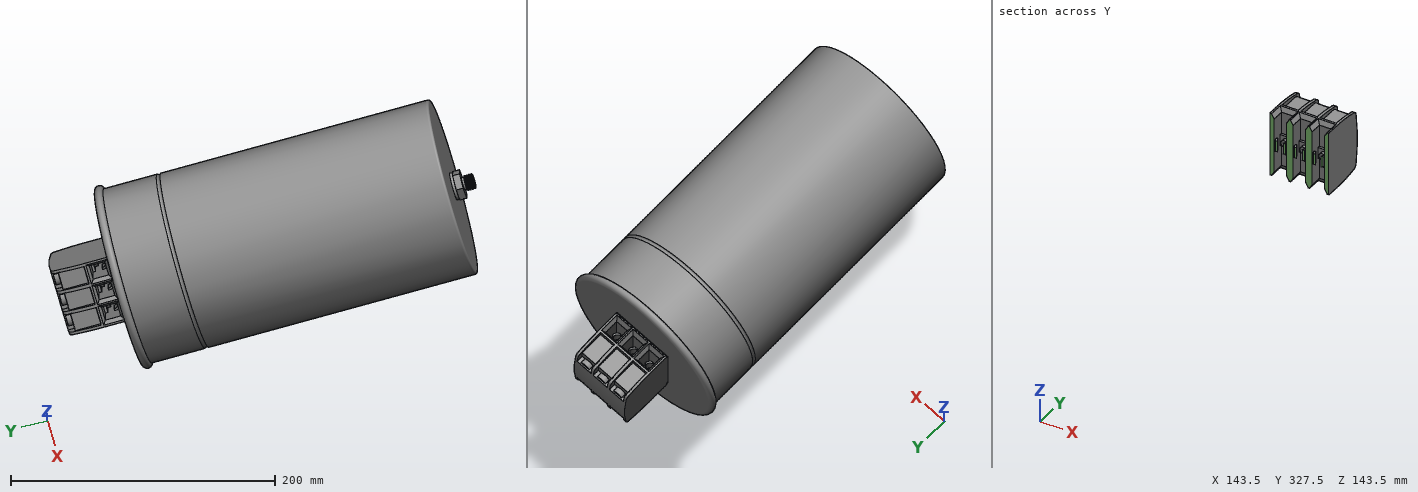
import cadquery as cq
import math


can_radius = 68.5
can_length = 263.0
base_fillet = 1.8
rim_radius = 71.75
rim_width = 6.8
groove_center = 212.8
groove_width = 3.0
groove_depth = 0.7

washer_radius = 10.7
washer_thickness = 2.2
washer_taper = 15.0
nut_across_flats = 20.0
nut_thickness = 5.5
stud_length = 16.5
thread_radius = 5.9
thread_pitch = 1.75
thread_depth = 0.95
thread_turns = 4
thread_crest = 0.2 * thread_pitch
thread_flank = (thread_pitch - thread_crest) / 2
relief_radius = thread_radius - thread_depth

cell_count = 3
cell_pitch = 16.8
outer_wall = 1.0
block_width = cell_count * cell_pitch + 2 * outer_wall
block_height = 48.0
block_half_depth = 28.3
block_straight = 23.5
shoulder_height = 45.8
shoulder_half_depth = 25.2
shoulder_bulge = 0.5
shoulder_fillet = 4.0
edge_reach = 1.0
plinth_height = 1.0
plinth_inset = 2.0

panel_width = 14.3
panel_bottom = 21.0
panel_top = 41.4
panel_recess = 4.0

notch_floor = 17.0
screw_guide_radius = 5.5
screw_guide_center = 13.5
screw_guide_length = 4.4

funnel_width = 15.6
funnel_bottom = 2.3
funnel_top = 19.2
funnel_depth = 4.0
entry_width = 10.8
entry_bottom = 5.0
entry_top = 17.2

clamp_half_thickness = 5.0
clamp_outer_radius = 5.6
clamp_inner_radius = 4.0
clamp_center = 9.8
clamp_bar_height = 2.0
clamp_screw_radius = 3.0
clamp_screw_tip = 12.2


def make_can():
    """Revolved can with a rounded base edge, a bead groove and a rolled rim."""
    rim_start = can_length - rim_width
    corner = base_fillet * (1 - math.cos(math.pi / 4))
    profile = (
        cq.Workplane("YZ")
        .lineTo(0, can_radius - base_fillet)
        .threePointArc((corner, can_radius - corner), (base_fillet, can_radius))
        .lineTo(groove_center - groove_width / 2, can_radius)
        .threePointArc(
            (groove_center, can_radius - groove_depth),
            (groove_center + groove_width / 2, can_radius),
        )
        .lineTo(rim_start, can_radius)
        .threePointArc((rim_start + rim_width / 2, rim_radius), (can_length, can_radius))
        .lineTo(can_length, 0)
        .close()
    )
    return profile.revolve(360, (0, 0), (1, 0))


def make_stud():
    """Washer, hexagon nut and threaded stud, stacked outwards from the base."""
    outward = cq.Workplane("XZ")
    washer = outward.circle(washer_radius).extrude(washer_thickness, taper=washer_taper)
    corner_diameter = nut_across_flats / math.cos(math.pi / 6)
    nut = (
        outward.workplane(offset=washer_thickness)
        .transformed(rotate=(0, 0, 90))
        .polygon(6, corner_diameter)
        .extrude(nut_thickness)
    )
    tip_start = stud_length - thread_turns * thread_pitch
    thread = cq.Workplane("YZ").lineTo(0, relief_radius).lineTo(-tip_start, relief_radius)
    for turn in range(thread_turns):
        turn_start = tip_start + turn * thread_pitch
        thread = (
            thread.lineTo(-turn_start - thread_flank, thread_radius)
            .lineTo(-turn_start - thread_flank - thread_crest, thread_radius)
            .lineTo(-turn_start - thread_pitch, relief_radius)
        )
    stud = thread.lineTo(-stud_length, 0).close().revolve(360, (0, 0), (1, 0))
    return washer.union(nut).union(stud)


def box_between(width, bottom, top, z_low, z_high):
    """Box centred on X = 0 between two heights above the can and two Z levels."""
    return cq.Workplane("XY").box(
        width, top - bottom, z_high - z_low, centered=(True, False, False)
    ).translate((0, bottom, z_low))


def make_block_body():
    """Side outline of the block, extruded across all cells, on a narrower plinth."""
    plinth_half = block_half_depth - plinth_inset
    mid_height = (block_straight + shoulder_height) / 2
    mid_half = (block_half_depth + shoulder_half_depth) / 2 + shoulder_bulge
    body = (
        cq.Workplane("YZ")
        .moveTo(plinth_height, -block_half_depth)
        .lineTo(block_straight, -block_half_depth)
        .threePointArc((mid_height, -mid_half), (shoulder_height, -shoulder_half_depth))
        .threePointArc((block_height, 0), (shoulder_height, shoulder_half_depth))
        .threePointArc((mid_height, mid_half), (block_straight, block_half_depth))
        .lineTo(plinth_height, block_half_depth)
        .close()
        .extrude(block_width / 2, both=True)
    )
    shoulder_edges = cq.selectors.BoxSelector(
        (-block_width, shoulder_height - edge_reach, -block_half_depth),
        (block_width, shoulder_height + edge_reach, block_half_depth),
    )
    body = body.edges("|X").edges(shoulder_edges).fillet(shoulder_fillet)
    plinth = box_between(block_width, 0, plinth_height, -plinth_half, plinth_half)
    return body.union(plinth)


def make_cell_cut():
    """Everything removed from the +Z side of one cell."""
    panel = box_between(
        panel_width,
        panel_bottom,
        panel_top,
        block_half_depth - panel_recess,
        block_half_depth,
    )
    notch = box_between(panel_width, panel_top, block_height, notch_floor, block_half_depth)
    guide = (
        cq.Workplane("XZ", origin=(0, panel_top, screw_guide_center))
        .circle(screw_guide_radius)
        .extrude(-screw_guide_length)
    )
    funnel_center = (funnel_bottom + funnel_top) / 2
    entry_center = (entry_bottom + entry_top) / 2
    funnel = (
        cq.Workplane("XY", origin=(0, funnel_center, block_half_depth))
        .rect(funnel_width, funnel_top - funnel_bottom)
        .workplane(offset=-funnel_depth)
        .center(0, entry_center - funnel_center)
        .rect(entry_width, entry_top - entry_bottom)
        .loft(ruled=True)
    )
    entry = box_between(entry_width, entry_bottom, entry_top, 0, block_half_depth - funnel_depth)
    return panel.union(notch.cut(guide)).union(funnel).union(entry)


def make_clamp():
    """Lower half ring, cross bar and screw held inside one wire entry."""
    ring = (
        cq.Workplane("XY", origin=(0, clamp_center, 0))
        .circle(clamp_outer_radius)
        .circle(clamp_inner_radius)
        .extrude(clamp_half_thickness, both=True)
    )
    lower_passage = box_between(
        entry_width, entry_bottom, clamp_center, -clamp_half_thickness, clamp_half_thickness
    )
    bar = box_between(
        entry_width,
        entry_top - clamp_bar_height,
        entry_top,
        -clamp_half_thickness,
        clamp_half_thickness,
    )
    screw = (
        cq.Workplane("XZ", origin=(0, entry_top, 0))
        .circle(clamp_screw_radius)
        .extrude(entry_top - clamp_screw_tip)
    )
    return ring.intersect(lower_passage).union(bar).union(screw)


def make_terminal_block():
    """Three identical cells, each open towards +Z and -Z."""
    block = make_block_body()
    upper_cut = make_cell_cut()
    cell_cut = upper_cut.union(upper_cut.mirror("XY"))
    clamp = make_clamp()
    for index in range(cell_count):
        cell_x = (index - (cell_count - 1) / 2) * cell_pitch
        block = block.cut(cell_cut.translate((cell_x, 0, 0)))
        block = block.union(clamp.translate((cell_x, 0, 0)))
    return block.translate((0, can_length, 0))


result = make_can().union(make_stud()).union(make_terminal_block())